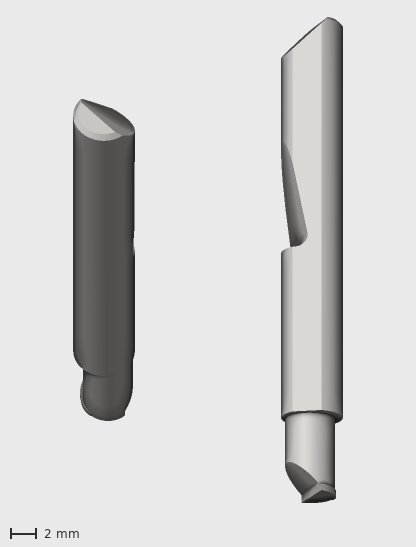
import cadquery as cq
import math

total_length = 38.1
shank_diameter = 4.75
shank_radius = shank_diameter / 2
neck_length = 6.35
top_chamfer = 0.4

flat_distance = 2.1
flat_direction = 150

top_slope_start = -0.6
notch_top = 28.27
notch_bottom = 19.6
notch_depth = 1.37
notch_radius = 0.9

neck_radius = 1.925
neck_x = shank_radius - neck_radius
neck_bottom = 0.2
neck_relief_height = 2.7

tip_x = -2.2
tip_top = 0.55
tip_root_x = 1.15
undercut_top = 0.9
undercut_depth = 0.15
tip_flank_middle = (-1.8, -0.8)
tip_corner = (-0.9, -1.55)
tip_back_middle = (-0.2, -1.9)
tip_heel = (0.57, -1.95)


def side_prism(points):
    """Extrude a (Y, Z) polygon through the whole width in X."""
    return cq.Workplane("YZ").polyline(points).close().extrude(shank_diameter, both=True)


def make_shank():
    shank = (
        cq.Workplane("XY")
        .workplane(offset=neck_length)
        .circle(shank_radius)
        .extrude(total_length - neck_length)
        .faces(">Z")
        .chamfer(top_chamfer)
    )
    flat_cutter = (
        cq.Workplane("XY")
        .center(flat_distance + shank_radius / 2, 0)
        .rect(shank_radius, 2 * shank_diameter)
        .extrude(total_length)
        .rotate((0, 0, 0), (0, 0, 1), flat_direction)
    )
    slope_run = shank_diameter
    slope_end = top_slope_start + slope_run
    top_cutter = side_prism([
        (top_slope_start, total_length),
        (slope_end, total_length),
        (slope_end, total_length - slope_run),
    ])
    return shank.cut(flat_cutter).cut(top_cutter).cut(make_notch())


def make_notch():
    """Ramped notch with a square lower shoulder and a rounded root."""
    arc_y = shank_radius - notch_depth + notch_radius
    arc_z = notch_bottom + notch_radius
    reach_y = shank_radius - arc_y
    reach_z = notch_top - arc_z
    reach = math.hypot(reach_y, reach_z)
    tangent_angle = math.atan2(reach_z, reach_y) + math.acos(notch_radius / reach)
    middle_angle = (tangent_angle + 1.5 * math.pi) / 2

    def on_arc(angle):
        return (arc_y + notch_radius * math.cos(angle), arc_z + notch_radius * math.sin(angle))

    return (
        cq.Workplane("YZ")
        .moveTo(shank_radius, notch_top)
        .lineTo(*on_arc(tangent_angle))
        .threePointArc(on_arc(middle_angle), (arc_y, notch_bottom))
        .lineTo(shank_diameter, notch_bottom)
        .lineTo(shank_diameter, notch_top)
        .close()
        .extrude(shank_diameter, both=True)
    )


def make_neck():
    neck = (
        cq.Workplane("XY")
        .workplane(offset=neck_bottom)
        .center(neck_x, 0)
        .circle(neck_radius)
        .extrude(neck_length - neck_bottom)
    )
    relief_foot = neck_relief_height - neck_radius
    relief = side_prism([
        (0, 0),
        (0, relief_foot),
        (shank_diameter, relief_foot + shank_diameter),
        (shank_diameter, 0),
    ])
    neck_side = neck_x - neck_radius
    undercut = (
        cq.Workplane("XZ")
        .polyline([
            (neck_side, undercut_top),
            (neck_side + undercut_depth, tip_top),
            (neck_side, tip_top),
        ])
        .close()
        .extrude(neck_radius)
    )
    return neck.cut(relief).cut(undercut)


def make_tip():
    """Thin plate with its rake face at Y = 0 and an underside rising from the cutting edge."""
    plate = (
        cq.Workplane("XY")
        .moveTo(tip_x, 0)
        .threePointArc(tip_flank_middle, tip_corner)
        .threePointArc(tip_back_middle, tip_heel)
        .lineTo(tip_root_x, 0)
        .close()
        .extrude(tip_top)
    )
    underside_clearance = (
        cq.Workplane("XZ")
        .polyline([(tip_x, 0), (shank_radius, 0), (shank_radius, neck_bottom)])
        .close()
        .extrude(shank_diameter, both=True)
    )
    return plate.cut(underside_clearance)


result = make_shank().union(make_neck()).union(make_tip())